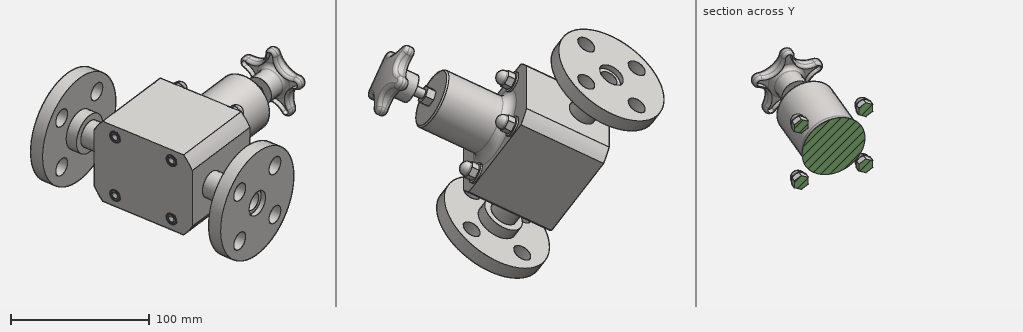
import cadquery as cq
import math


overall_length = 171.45
flange_diameter = 88.9
flange_thickness = 11.0
flange_hub_diameter = 31.75
flange_hub_length = 9.3
bolt_circle_diameter = 60.33
flange_bolt_diameter = 14.22
flange_bolt_count = 4
pipe_outer_diameter = 21.34
pipe_bore_diameter = 13.87
flange_recess_diameter = 19.81
flange_recess_depth = 4.0

body_length = 88.5
body_height = 69.85
body_front_y = -23.1
body_back_y = 46.75
body_corner_radius = 50.5

fastener_offset = 25.4
screw_recess_diameter = 9.53
screw_recess_depth = 1.0
screw_face_diameter = 7.44
screw_socket_diameter = 5.1
screw_socket_depth = 2.2
washer_diameter = 15.88
washer_thickness = 1.4
nut_width_across_flats = 11.11
nut_hex_height = 5.7
nut_dome_diameter = 11.0
nut_dome_collar = 1.2

bonnet_diameter = 45.72
bonnet_end_y = 100.6
bonnet_chamfer = 1.2
bonnet_root_radius = 7.1
lock_nut_width_across_flats = 12.2
lock_nut_end_y = 107.4
spindle_diameter = 7.44

wheel_hub_start_y = 117.5
wheel_hub_diameter = 22.1
wheel_start_y = 129.95
wheel_end_y = 142.28
lobe_count = 5
lobe_center_radius = 23.6
lobe_radius = 4.8
wheel_edge_fillet = 3.1
wheel_dome_radius = 90.0
wheel_rim_width = 2.1
wheel_pocket_depth = 4.5
wheel_hub_fillet = 3.5


def cylinder_y(diameter, start_y, end_y, x=0, z=0):
    """Cylinder along +Y."""
    return cq.Workplane(cq.Solid.makeCylinder(
        diameter / 2, end_y - start_y, cq.Vector(x, start_y, z), cq.Vector(0, 1, 0)))


def cylinder_x(diameter, start_x, end_x, y=0, z=0):
    """Cylinder along +X."""
    return cq.Workplane(cq.Solid.makeCylinder(
        diameter / 2, end_x - start_x, cq.Vector(start_x, y, z), cq.Vector(1, 0, 0)))


def hex_y(across_flats, start_y, end_y, points_along_z):
    """Hexagonal prism along +Y with two corners on the X axis, or on the Z axis."""
    across_corners = across_flats / math.cos(math.pi / 6)
    prism = (cq.Workplane("XZ", origin=(0, start_y, 0))
             .polygon(6, across_corners)
             .extrude(start_y - end_y))
    if points_along_z:
        prism = prism.rotate((0, 0, 0), (0, 1, 0), 90)
    return prism


def make_body():
    """Block whose four edges along Y are rounded by one large cylinder."""
    depth = body_back_y - body_front_y
    block = (cq.Workplane("XY")
             .box(body_length, depth, body_height)
             .translate((0, (body_front_y + body_back_y) / 2, 0)))
    return block.intersect(cylinder_y(2 * body_corner_radius, body_front_y, body_back_y))


def make_pipe_end():
    """Blind-bored pipe stub with its flange, attached to the -X side of the body."""
    end_x = -overall_length / 2
    body_side_x = -body_length / 2
    flange_back_x = end_x + flange_thickness
    pipe_end = (cylinder_x(flange_diameter, end_x, flange_back_x)
                .union(cylinder_x(flange_hub_diameter, flange_back_x, flange_back_x + flange_hub_length))
                .union(cylinder_x(pipe_outer_diameter, flange_back_x, body_side_x)))
    pipe_end = pipe_end.cut(cylinder_x(pipe_bore_diameter, end_x, body_side_x))
    pipe_end = pipe_end.cut(cylinder_x(flange_recess_diameter, end_x, end_x + flange_recess_depth))
    for index in range(flange_bolt_count):
        angle = 2 * math.pi * (index + 0.5) / flange_bolt_count
        y = bolt_circle_diameter / 2 * math.cos(angle)
        z = bolt_circle_diameter / 2 * math.sin(angle)
        pipe_end = pipe_end.cut(cylinder_x(flange_bolt_diameter, end_x, flange_back_x, y, z))
    return pipe_end


def make_screw_pocket():
    """Ring-shaped recess around a screw end that is level with the front of the body and center-drilled."""
    recess_bottom_y = body_front_y + screw_recess_depth
    recess = cylinder_y(screw_recess_diameter, body_front_y, recess_bottom_y)
    screw_end = cylinder_y(screw_face_diameter, body_front_y, recess_bottom_y)
    socket = cq.Workplane(cq.Solid.makeCone(
        screw_socket_diameter / 2, 0, screw_socket_depth,
        cq.Vector(0, body_front_y, 0), cq.Vector(0, 1, 0)))
    return recess.cut(screw_end).union(socket)


def make_acorn_nut():
    """Washer, hexagon and domed cap on the back of the body."""
    washer_end_y = body_back_y + washer_thickness
    hex_end_y = washer_end_y + nut_hex_height
    dome_center_y = hex_end_y + nut_dome_collar
    dome_radius = nut_dome_diameter / 2
    dome = cq.Workplane("XY").sphere(dome_radius).translate((0, dome_center_y, 0))
    return (cylinder_y(washer_diameter, body_back_y, washer_end_y)
            .union(hex_y(nut_width_across_flats, washer_end_y, hex_end_y, points_along_z=True))
            .union(cylinder_y(nut_dome_diameter, hex_end_y, dome_center_y))
            .union(dome))


def make_bonnet():
    """Chamfered cylinder that flares into the body with a concave root."""
    radius = bonnet_diameter / 2
    root_diagonal = bonnet_root_radius * (1 - math.sqrt(0.5))
    return (cq.Workplane("XY")
            .moveTo(0, body_back_y)
            .lineTo(radius + bonnet_root_radius, body_back_y)
            .threePointArc((radius + root_diagonal, body_back_y + root_diagonal),
                           (radius, body_back_y + bonnet_root_radius))
            .lineTo(radius, bonnet_end_y - bonnet_chamfer)
            .lineTo(radius - bonnet_chamfer, bonnet_end_y)
            .lineTo(0, bonnet_end_y)
            .close()
            .revolve(360, (0, 0, 0), (0, 1, 0)))


def polar_point(radius, angle):
    """Point at a radius and an angle measured from the +Z axis."""
    return (radius * math.sin(angle), radius * math.cos(angle))


def star_prism(half_width, height):
    """Star prism along +Y from the wheel underside; its lobes have the given half width and round tips."""
    half_pitch = math.pi / lobe_count
    tip_radius = lobe_center_radius + half_width
    flank_radius = math.hypot(lobe_center_radius, half_width)
    flank_angle = math.atan2(half_width, lobe_center_radius)
    gap_arc_radius = lobe_center_radius * math.tan(half_pitch) - half_width
    gap_bottom_radius = lobe_center_radius / math.cos(half_pitch) - gap_arc_radius

    outline = cq.Workplane("XZ", origin=(0, wheel_start_y, 0))
    outline = outline.moveTo(*polar_point(flank_radius, -flank_angle))
    for index in range(lobe_count):
        lobe_angle = 2 * half_pitch * index
        outline = outline.threePointArc(polar_point(tip_radius, lobe_angle),
                                        polar_point(flank_radius, lobe_angle + flank_angle))
        outline = outline.threePointArc(polar_point(gap_bottom_radius, lobe_angle + half_pitch),
                                        polar_point(flank_radius, lobe_angle + 2 * half_pitch - flank_angle))
    return outline.close().extrude(-height)


def make_flared_hub():
    """Hub whose inner end flares into the floor of the wheel's underside pocket."""
    radius = wheel_hub_diameter / 2
    floor_y = wheel_start_y + wheel_pocket_depth
    flare_start_y = floor_y - wheel_hub_fillet
    flare_diagonal = wheel_hub_fillet * (1 - math.sqrt(0.5))
    return (cq.Workplane("XY")
            .moveTo(0, wheel_hub_start_y)
            .lineTo(radius, wheel_hub_start_y)
            .lineTo(radius, flare_start_y)
            .threePointArc((radius + flare_diagonal, floor_y - flare_diagonal),
                           (radius + wheel_hub_fillet, floor_y))
            .lineTo(0, floor_y)
            .close()
            .revolve(360, (0, 0, 0), (0, 1, 0)))


def make_handwheel():
    """Star wheel with a domed outer face, a rim around its hollow underside and a central hub."""
    blank_height = 2 * (wheel_end_y - wheel_start_y)
    dome = cq.Workplane("XY").sphere(wheel_dome_radius).translate((0, wheel_end_y - wheel_dome_radius, 0))
    wheel = star_prism(lobe_radius, blank_height).intersect(dome)
    wheel = wheel.faces("<Y or >Y").edges().fillet(wheel_edge_fillet)
    wheel = wheel.cut(star_prism(lobe_radius - wheel_rim_width, wheel_pocket_depth))
    return wheel.union(make_flared_hub())


def at_fastener_positions(shape):
    """Copies of a shape at the four fastener axes."""
    return [shape.translate((x, 0, z))
            for x in (-fastener_offset, fastener_offset)
            for z in (-fastener_offset, fastener_offset)]


body = make_body()
pipe_end = make_pipe_end()
result = body.union(pipe_end).union(pipe_end.mirror("YZ"))
result = result.union(make_bonnet())
result = result.union(hex_y(lock_nut_width_across_flats, bonnet_end_y, lock_nut_end_y, points_along_z=False))
result = result.union(cylinder_y(spindle_diameter, lock_nut_end_y, wheel_hub_start_y))
result = result.union(make_handwheel())
for nut in at_fastener_positions(make_acorn_nut()):
    result = result.union(nut)
for pocket in at_fastener_positions(make_screw_pocket()):
    result = result.cut(pocket)